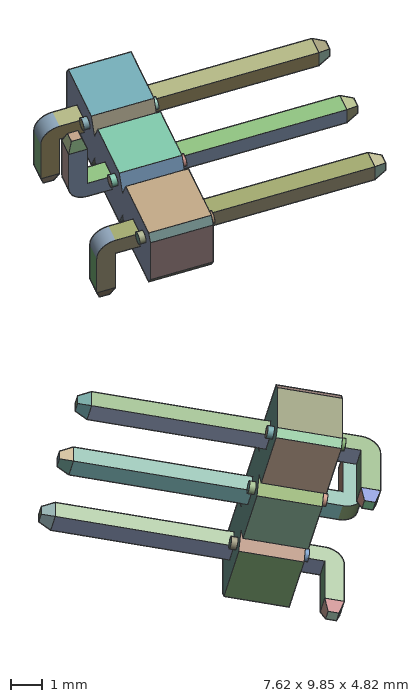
import cadquery as cq

PIN_COUNT = 3
PITCH = 2.54

HOUSING_HEIGHT = 2.39
HOUSING_DEPTH = 2.13
NOTCH_HALF_WIDTH = 0.3
NOTCH_TIP_Z = 0.54
END_CHAMFER_X = 0.17
END_CHAMFER_Z = 0.3

PEG_DIAMETER = 0.41
PEG_LENGTH = 0.21
PEG_OFFSET_X = 0.66
PEG_OFFSET_Z = 0.54

PIN_WIDTH = 0.64
TIP_WIDTH = 0.35
TIP_LENGTH = 0.42
OVERALL_LENGTH = 9.85
FRONT_REACH = 1.47
LEG_REACH = 2.41

HOUSING_LENGTH = PIN_COUNT * PITCH
HALF_LENGTH = HOUSING_LENGTH / 2
HALF_HEIGHT = HOUSING_HEIGHT / 2
HALF_DEPTH = HOUSING_DEPTH / 2
HALF_PIN = PIN_WIDTH / 2
LEG_FRONT_Y = -HALF_DEPTH - FRONT_REACH
LEG_BACK_Y = LEG_FRONT_Y + PIN_WIDTH
CONTACT_END_Y = LEG_FRONT_Y + OVERALL_LENGTH

pin_xs = [(i - (PIN_COUNT - 1) / 2) * PITCH for i in range(PIN_COUNT)]
notch_xs = [x + PITCH / 2 for x in pin_xs[:-1]]


def along_y(sketch_y):
    """Workplane facing -Y at the given Y: local axes are global X and Z."""
    return cq.Workplane("XZ", origin=(0, sketch_y, 0))


def make_housing():
    """Notched block with square pin holes and round standoff pegs."""
    block = along_y(HALF_DEPTH).rect(HOUSING_LENGTH, HOUSING_HEIGHT).extrude(HOUSING_DEPTH)

    for z_side in (1, -1):
        edge_z = z_side * HALF_HEIGHT

        for x in notch_xs:
            notch = [
                (x - NOTCH_HALF_WIDTH, edge_z),
                (x, z_side * NOTCH_TIP_Z),
                (x + NOTCH_HALF_WIDTH, edge_z),
            ]
            block = block.cut(along_y(HALF_DEPTH).polyline(notch).close().extrude(HOUSING_DEPTH))

        for x_side in (1, -1):
            end_x = x_side * HALF_LENGTH
            corner = [
                (end_x, edge_z),
                (end_x - x_side * END_CHAMFER_X, edge_z),
                (end_x, edge_z - z_side * END_CHAMFER_Z),
            ]
            block = block.cut(along_y(HALF_DEPTH).polyline(corner).close().extrude(HOUSING_DEPTH))

    peg_points = []
    for x in pin_xs:
        peg_points.append((x - PEG_OFFSET_X, -PEG_OFFSET_Z))
        peg_points.append((x + PEG_OFFSET_X, PEG_OFFSET_Z))
    for face_y in (HALF_DEPTH + PEG_LENGTH, -HALF_DEPTH):
        pegs = along_y(face_y).pushPoints(peg_points).circle(PEG_DIAMETER / 2).extrude(PEG_LENGTH)
        block = block.union(pegs)

    hole_points = [(x, 0) for x in pin_xs]
    holes = along_y(HALF_DEPTH).pushPoints(hole_points).rect(PIN_WIDTH, PIN_WIDTH).extrude(HOUSING_DEPTH)
    return block.cut(holes)


def make_tip(plane):
    """Square tapered tip starting on the given plane and pointing along its normal."""
    return (
        cq.Workplane(plane)
        .rect(PIN_WIDTH, PIN_WIDTH)
        .workplane(offset=TIP_LENGTH)
        .rect(TIP_WIDTH, TIP_WIDTH)
        .loft(ruled=True)
    )


def make_pin():
    """Pin at X = 0 with its leg bent downwards: sharp inside corner, rounded outside."""
    contact_shoulder_y = CONTACT_END_Y - TIP_LENGTH
    leg_shoulder_z = -LEG_REACH + TIP_LENGTH
    leg_centre_y = LEG_FRONT_Y + HALF_PIN

    bend_start = (LEG_BACK_Y, HALF_PIN)
    bend_end = (LEG_FRONT_Y, -HALF_PIN)
    wire = (
        cq.Workplane("YZ")
        .moveTo(contact_shoulder_y, -HALF_PIN)
        .lineTo(contact_shoulder_y, HALF_PIN)
        .lineTo(*bend_start)
        .radiusArc(bend_end, -PIN_WIDTH)
        .lineTo(LEG_FRONT_Y, leg_shoulder_z)
        .lineTo(LEG_BACK_Y, leg_shoulder_z)
        .lineTo(LEG_BACK_Y, -HALF_PIN)
        .close()
        .extrude(HALF_PIN, both=True)
    )

    contact_tip = make_tip(cq.Plane((0, contact_shoulder_y, 0), xDir=(1, 0, 0), normal=(0, 1, 0)))
    leg_tip = make_tip(cq.Plane((0, leg_centre_y, leg_shoulder_z), xDir=(1, 0, 0), normal=(0, 0, -1)))
    return wire.union(contact_tip).union(leg_tip)


housing = make_housing()

pin_down = make_pin()
pins = []
for index, pin_x in enumerate(pin_xs):
    roll = 180 * (index % 2)
    pin = pin_down.rotate((0, 0, 0), (0, 1, 0), roll).translate((pin_x, 0, 0))
    pins.append(pin.val())

result = cq.Compound.makeCompound([housing.val(), *pins])